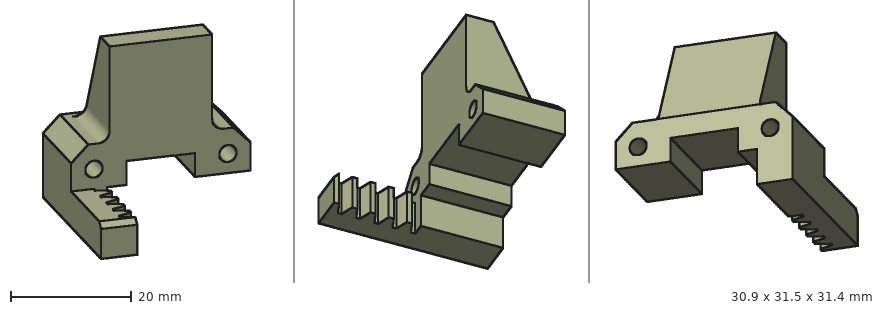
import cadquery as cq
import math

block_length = 15.0
block_width = 31.5
block_height = 8.0
shoulder_chamfer = 3.0
mid_y = block_width / 2

bar_size = 6.35
bar_length = 30.86
bar_end_chamfer = 1.0
block_bottom = bar_size
block_top = block_bottom + block_height

channel_width = 12.0
channel_depth = 4.25

hole_diameter = 3.0
hole_spacing = 23.5
hole_drop = 4.5

post_width = 18.0
post_height = 17.0
post_top_length = 5.0
post_foot_setback = 1.7
post_fillet = 2.0

module = 25.4 / 24
tooth_pitch = math.pi * module
tooth_count = 5
tooth_depth = 2.25 * module
flank_slope = math.tan(math.radians(20))
tip_width = 0.93
flank_run = tooth_depth * flank_slope


def extrude_along_x(points, length):
    """Closed (y, z) outline extruded from x = 0."""
    return cq.Workplane("YZ").polyline(points).close().extrude(length)


def make_block():
    shoulder_z = block_top - shoulder_chamfer
    block = extrude_along_x(
        [
            (0, block_bottom),
            (block_width, block_bottom),
            (block_width, shoulder_z),
            (block_width - shoulder_chamfer, block_top),
            (shoulder_chamfer, block_top),
            (0, shoulder_z),
        ],
        block_length,
    )
    channel = cq.Workplane("XY").box(
        block_length, channel_width, channel_depth, centered=(False, True, False)
    )
    channel = channel.translate((0, mid_y, block_bottom))
    holes = (
        cq.Workplane("YZ")
        .pushPoints([(mid_y + side * hole_spacing / 2, block_top - hole_drop) for side in (-1, 1)])
        .circle(hole_diameter / 2)
        .extrude(block_length)
    )
    return block.cut(channel).cut(holes)


def make_post():
    """Post with concave fillets at its sides, trimmed by the sloped front face."""
    side_y = post_width / 2
    foot_y = side_y + post_fillet
    post_top = block_top + post_height
    fillet_top = block_top + post_fillet
    arc_offset = post_fillet * (1 - math.sqrt(0.5))
    flared_post = (
        cq.Workplane("YZ", origin=(0, mid_y, 0))
        .moveTo(-foot_y, block_top)
        .lineTo(foot_y, block_top)
        .threePointArc((side_y + arc_offset, block_top + arc_offset), (side_y, fillet_top))
        .lineTo(side_y, post_top)
        .lineTo(-side_y, post_top)
        .lineTo(-side_y, fillet_top)
        .threePointArc((-side_y - arc_offset, block_top + arc_offset), (-foot_y, block_top))
        .close()
        .extrude(block_length)
    )
    wedge = (
        cq.Workplane("XZ")
        .polyline(
            [
                (post_foot_setback, block_top),
                (block_length, block_top),
                (block_length, post_top),
                (block_length - post_top_length, post_top),
            ]
        )
        .close()
        .extrude(-block_width)
    )
    return flared_post.intersect(wedge)


def make_rack():
    """Bar with teeth facing +y; the tip of the last tooth ends flush with the bar."""
    root_y = bar_size - tooth_depth
    first_tip = bar_length - tip_width - (tooth_count - 1) * tooth_pitch
    outline = [(0, 0), (0, bar_size), (block_length, bar_size), (block_length, root_y)]
    for index in range(tooth_count):
        tip_start = first_tip + index * tooth_pitch
        tip_end = tip_start + tip_width
        outline += [(tip_start - flank_run, root_y), (tip_start, bar_size), (tip_end, bar_size)]
        if index < tooth_count - 1:
            outline.append((tip_end + flank_run, root_y))
    outline.append((bar_length, 0))
    bar = cq.Workplane("XY").polyline(outline).close().extrude(bar_size)
    return bar.faces(">X").edges(">Z").chamfer(bar_end_chamfer)


result = make_block().union(make_post()).union(make_rack())